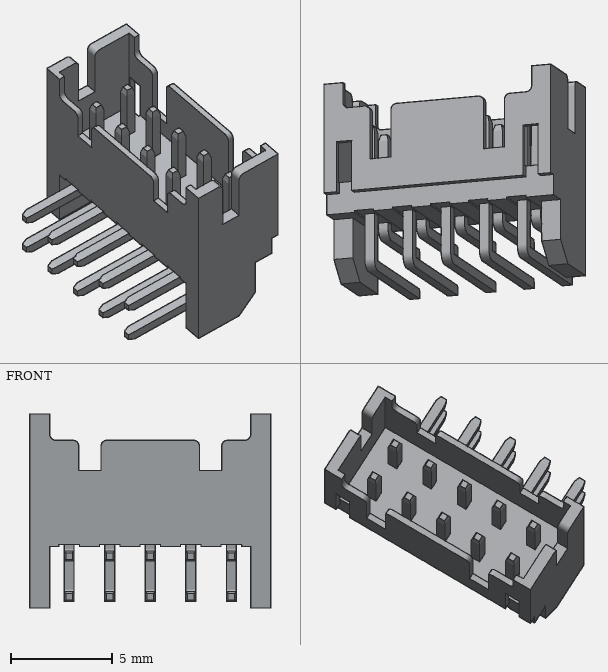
import cadquery as cq


LENGTH = 11.9
DEPTH = 5.05
HEIGHT = 9.57
EDGE_RADIUS = 0.3

WING_WIDTH = 1.0
LEG_DEPTH = 3.6
LEG_CHAMFER_Y = 1.04
LEG_CHAMFER_Z = 1.0

BODY_BOTTOM = 3.02
SHELF_Z = HEIGHT - 1.3
STEP_Z = 4.05
STEP_DEPTH = 0.4

FLOOR_Z = 4.6
LONG_WALL = 0.31
END_WALL = 0.6

NOTCH_X = 2.98
NOTCH_WIDTH = 1.08
FRONT_NOTCH_BOTTOM = HEIGHT - 2.78
REAR_NOTCH_BOTTOM = HEIGHT - 4.0
SLOT_FRONT_Y = 1.54
SLOT_WIDTH = 1.04
SLOT_BOTTOM = HEIGHT - 2.7
WINDOW_WIDTH = 0.79
WINDOW_GAP = 0.07
WINDOW_TOP = 6.59

PIN_COUNT = 5
PITCH = 2.0
PIN_SIZE = 0.5
PIN_TIP_SIZE = 0.32
PIN_TAPER = 0.32
PIN_TOP = 7.6
TAIL_LENGTH = 3.0
FRONT_ROW_Y = 1.58
ROW_SPACING = 1.96
UPPER_TAIL_Z = 2.56
BEND_INNER_RADIUS = 0.1
BEND_OUTER_RADIUS = 0.5
GROOVE_WIDTH = 1.0
GROOVE_DEPTH = 0.1

PIN_XS = [(i - (PIN_COUNT - 1) / 2) * PITCH for i in range(PIN_COUNT)]


def block(x_range, y_range, z_range):
    """Box spanning the given (low, high) range on each axis."""
    lows, highs = zip(x_range, y_range, z_range)
    sizes = [high - low for low, high in zip(lows, highs)]
    return cq.Workplane("XY").box(*sizes, centered=False).translate(lows)


def make_housing():
    """Side profile with rear steps and chamfered legs, hollowed and cut open between the legs."""
    profile = [
        (0, 0),
        (LEG_DEPTH - LEG_CHAMFER_Y, 0),
        (LEG_DEPTH, LEG_CHAMFER_Z),
        (LEG_DEPTH, BODY_BOTTOM),
        (DEPTH - STEP_DEPTH, BODY_BOTTOM),
        (DEPTH - STEP_DEPTH, STEP_Z),
        (DEPTH, STEP_Z),
        (DEPTH, HEIGHT),
        (0, HEIGHT),
    ]
    housing = cq.Workplane("YZ").polyline(profile).close().extrude(LENGTH / 2, both=True)
    between_wings = LENGTH / 2 - WING_WIDTH
    x_span = (-between_wings, between_wings)
    housing = housing.cut(block(x_span, (0, DEPTH), (0, BODY_BOTTOM)))
    cavity_x = LENGTH / 2 - END_WALL
    cavity_y = (LONG_WALL, DEPTH - LONG_WALL)
    return housing.cut(block((-cavity_x, cavity_x), cavity_y, (FLOOR_Z, HEIGHT)))


def wall_top_cutter(y_span, notch_bottom):
    """Space above one long wall: a low shelf between the wings plus two rounded notches."""
    half_gap = LENGTH / 2 - WING_WIDTH
    cutter = block((-half_gap, half_gap), y_span, (SHELF_Z, HEIGHT))
    cutter = cutter.edges("|Y and <Z").fillet(EDGE_RADIUS)
    for notch_x in (-NOTCH_X, NOTCH_X):
        x_span = (notch_x - NOTCH_WIDTH / 2, notch_x + NOTCH_WIDTH / 2)
        cutter = cutter.union(block(x_span, y_span, (notch_bottom, HEIGHT)))
    margin = EDGE_RADIUS / 2
    corners = cq.selectors.BoxSelector(
        (-half_gap + EDGE_RADIUS, y_span[0] - margin, SHELF_Z - margin),
        (half_gap - EDGE_RADIUS, y_span[1] + margin, SHELF_Z + margin),
    )
    return cutter.edges("|Y").edges(corners).fillet(EDGE_RADIUS)


def cut_end_slots(housing):
    """Slot through both end walls, rounded at the mouth."""
    slot_y = (SLOT_FRONT_Y, SLOT_FRONT_Y + SLOT_WIDTH)
    housing = housing.cut(block((-LENGTH / 2, LENGTH / 2), slot_y, (SLOT_BOTTOM, HEIGHT)))
    margin = EDGE_RADIUS / 2
    mouths = cq.selectors.BoxSelector(
        (-LENGTH / 2, slot_y[0] - margin, HEIGHT - margin),
        (LENGTH / 2, slot_y[1] + margin, HEIGHT + margin),
    )
    return housing.edges("|X").edges(mouths).fillet(EDGE_RADIUS)


def cut_rear_windows(housing):
    """Tall windows through the rear wall next to each end wall, open down to the rear step."""
    outer_x = LENGTH / 2 - END_WALL - WINDOW_GAP
    inner_x = outer_x - WINDOW_WIDTH
    for x_span in ((-outer_x, -inner_x), (inner_x, outer_x)):
        housing = housing.cut(block(x_span, (DEPTH - STEP_DEPTH, DEPTH), (STEP_Z, WINDOW_TOP)))
    return housing


def cut_pin_grooves(housing):
    """Shallow grooves across the underside of the body, one above each pair of tails."""
    for x in PIN_XS:
        x_span = (x - GROOVE_WIDTH / 2, x + GROOVE_WIDTH / 2)
        z_span = (BODY_BOTTOM, BODY_BOTTOM + GROOVE_DEPTH)
        housing = housing.cut(block(x_span, (0, DEPTH), z_span))
    return housing


def pin_tip(base_plane):
    """Square taper standing on the end face of a pin."""
    return (
        cq.Workplane(base_plane)
        .rect(PIN_SIZE, PIN_SIZE)
        .workplane(offset=PIN_TAPER)
        .rect(PIN_TIP_SIZE, PIN_TIP_SIZE)
        .loft(ruled=True)
    )


def make_pin(row_y, tail_z):
    """L-shaped square pin at X = 0: upright post at row_y, tail along -Y at tail_z."""
    half = PIN_SIZE / 2
    post_end = PIN_TOP - PIN_TAPER
    tail_end = -TAIL_LENGTH + PIN_TAPER
    outline = [
        (tail_end, tail_z - half),
        (row_y + half, tail_z - half),
        (row_y + half, post_end),
        (row_y - half, post_end),
        (row_y - half, tail_z + half),
        (tail_end, tail_z + half),
    ]
    pin = cq.Workplane("YZ").polyline(outline).close().extrude(half, both=True)
    outer_bend = cq.NearestToPointSelector((0, row_y + half, tail_z - half))
    inner_bend = cq.NearestToPointSelector((0, row_y - half, tail_z + half))
    pin = pin.edges("|X").edges(outer_bend).fillet(BEND_OUTER_RADIUS)
    pin = pin.edges("|X").edges(inner_bend).fillet(BEND_INNER_RADIUS)
    top_plane = cq.Plane((0, row_y, post_end), xDir=(1, 0, 0), normal=(0, 0, 1))
    tail_plane = cq.Plane((0, tail_end, tail_z), xDir=(1, 0, 0), normal=(0, -1, 0))
    return pin.union(pin_tip(top_plane)).union(pin_tip(tail_plane))


housing = cut_end_slots(make_housing())
housing = housing.cut(wall_top_cutter((0, LONG_WALL), FRONT_NOTCH_BOTTOM))
housing = housing.cut(wall_top_cutter((DEPTH - LONG_WALL, DEPTH), REAR_NOTCH_BOTTOM))
housing = cut_rear_windows(housing)
housing = cut_pin_grooves(housing)

front_pin = make_pin(FRONT_ROW_Y, UPPER_TAIL_Z)
rear_pin = make_pin(FRONT_ROW_Y + ROW_SPACING, UPPER_TAIL_Z - PITCH)

result = housing
for x in PIN_XS:
    result = result.union(front_pin.translate((x, 0, 0)))
    result = result.union(rear_pin.translate((x, 0, 0)))